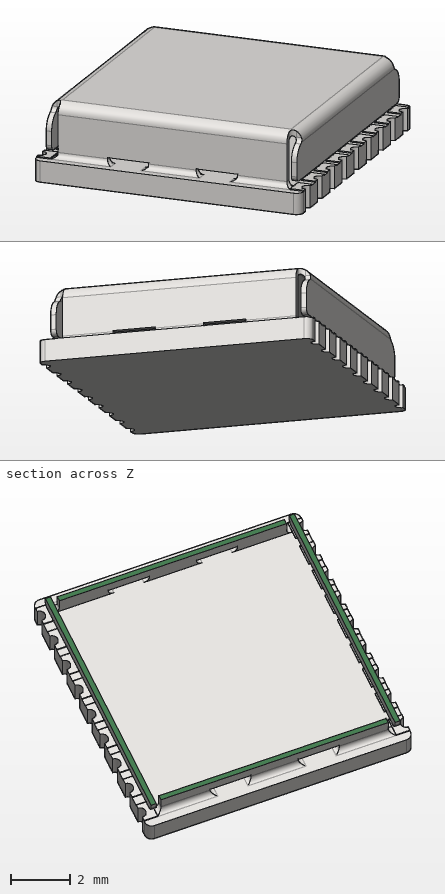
import cadquery as cq
import math

BOARD_X = 9.7
BOARD_Y = 10.1
BOARD_T = 0.76
BOARD_CORNER_R = 0.25

NOTCH_COUNT = 9
NOTCH_PITCH = 1.1
NOTCH_R = 0.2
PAD_T = 0.04
PAD_DEPTH = 0.5
PAD_WIDTH = 0.8
END_PAD_WIDTH = 0.7

TOTAL_H = 2.7
SHIELD_SIZE = 9.1
SHEET_T = 0.2
BEND_R = 0.4
WALL_BOTTOM_Z = 1.0
RELIEF_R = 0.2

FLANGE_WIDTH = 9.27
SHOULDER_START_Z = 1.706
SHOULDER_R = 0.6
FLANGE_BOTTOM_R = 0.2

SOLDER_R = 0.2
CENTRE_FOOT_HALF_WIDTH = 0.86
WINDOW_WIDTH = 1.5

shield_half = SHIELD_SIZE / 2
inner_half = shield_half - SHEET_T
flat_half = shield_half - BEND_R
outer_foot_inner_x = CENTRE_FOOT_HALF_WIDTH + WINDOW_WIDTH
SIDES = (-1, 1)


def box_between(x_range, y_range, z_range):
    """Box spanning three (low, high) ranges."""
    size = [high - low for low, high in (x_range, y_range, z_range)]
    corner = (x_range[0], y_range[0], z_range[0])
    return cq.Workplane("XY").box(*size, centered=False).translate(corner)


def notch_positions():
    first = -(NOTCH_COUNT - 1) / 2 * NOTCH_PITCH
    return [first + i * NOTCH_PITCH for i in range(NOTCH_COUNT)]


def make_board():
    """Board with raised edge pads, notched through both."""
    board = (
        cq.Workplane("XY")
        .box(BOARD_X, BOARD_Y, BOARD_T, centered=(True, True, False))
        .edges("|Z")
        .fillet(BOARD_CORNER_R)
    )
    positions = notch_positions()
    for side in SIDES:
        edge_x = side * BOARD_X / 2
        for y in positions:
            is_end_pad = y in (positions[0], positions[-1])
            width = END_PAD_WIDTH if is_end_pad else PAD_WIDTH
            pad = (
                cq.Workplane("XY", origin=(edge_x - side * PAD_DEPTH / 2, y, BOARD_T))
                .box(PAD_DEPTH, width, PAD_T, centered=(True, True, False))
            )
            board = board.union(pad)
    notches = (
        cq.Workplane("XY")
        .pushPoints([(side * BOARD_X / 2, y) for side in SIDES for y in positions])
        .circle(NOTCH_R)
        .extrude(BOARD_T + PAD_T)
    )
    return board.cut(notches)


def rounded_block(size_x, size_y, top_z, radius, top_edges):
    """Block above the wall bottom, with the selected top edges rounded."""
    return (
        cq.Workplane("XY", origin=(0, 0, WALL_BOTTOM_Z))
        .box(size_x, size_y, top_z - WALL_BOTTOM_Z, centered=(True, True, False))
        .edges(top_edges)
        .fillet(radius)
    )


def folded_sheet(outer_y, inner_y, folds):
    """Sheet bent down along the selected top edges, open underneath."""
    outside = rounded_block(SHIELD_SIZE, outer_y, TOTAL_H, BEND_R, folds)
    inside = rounded_block(
        2 * inner_half, inner_y, TOTAL_H - SHEET_T, BEND_R - SHEET_T, folds
    )
    return outside.cut(inside)


def make_shell():
    """Folded lid with its four corners cut away between the bends."""
    shell = folded_sheet(SHIELD_SIZE, 2 * inner_half, ">Z")
    for x_side in SIDES:
        for y_side in SIDES:
            x_edge = "<X" if x_side > 0 else ">X"
            y_edge = "<Y" if y_side > 0 else ">Y"
            relief = (
                cq.Workplane("XY")
                .box(2 * BEND_R, 2 * BEND_R, TOTAL_H, centered=(True, True, False))
                .translate((x_side * (flat_half + BEND_R), y_side * (flat_half + BEND_R), 0))
                .faces(x_edge)
                .edges(y_edge)
                .fillet(RELIEF_R)
            )
            shell = shell.cut(relief)
    return shell


def flange_outline():
    """Side outline: from the bottom out to the full width, then an S-curve in to the bend."""
    half = FLANGE_WIDTH / 2
    shoulder_y = half - SHOULDER_R
    relief_y = flat_half + RELIEF_R
    reach = SHOULDER_R + RELIEF_R
    offset_y = relief_y - shoulder_y
    offset_z = math.sqrt(reach**2 - offset_y**2)
    relief_z = SHOULDER_START_Z + offset_z
    angle = math.atan2(offset_z, offset_y)
    join = (
        shoulder_y + SHOULDER_R * math.cos(angle),
        SHOULDER_START_Z + SHOULDER_R * math.sin(angle),
    )
    shoulder_mid = (
        shoulder_y + SHOULDER_R * math.cos(angle / 2),
        SHOULDER_START_Z + SHOULDER_R * math.sin(angle / 2),
    )
    relief_mid = (
        relief_y - RELIEF_R * math.cos(angle / 2),
        relief_z - RELIEF_R * math.sin(angle / 2),
    )
    half_outline = (
        cq.Workplane("YZ")
        .moveTo(0, WALL_BOTTOM_Z)
        .lineTo(half - FLANGE_BOTTOM_R, WALL_BOTTOM_Z)
        .radiusArc((half, WALL_BOTTOM_Z + FLANGE_BOTTOM_R), -FLANGE_BOTTOM_R)
        .lineTo(half, SHOULDER_START_Z)
        .threePointArc(shoulder_mid, join)
        .threePointArc(relief_mid, (flat_half, relief_z))
        .lineTo(0, relief_z)
        .close()
        .extrude(shield_half, both=True)
    )
    return half_outline.union(half_outline.mirror("XZ"))


def make_flanges():
    """Both side flanges, cut from a wide strip folded down along its sides."""
    sheet = folded_sheet(FLANGE_WIDTH, FLANGE_WIDTH, "|Y and >Z")
    return sheet.intersect(flange_outline())


def make_foot(x_min, x_max):
    """Foot under the +Y wall with concave solder on its outer face and both ends."""
    solder_top = BOARD_T + SOLDER_R
    foot = box_between((x_min, x_max), (inner_half, shield_half), (BOARD_T, WALL_BOTTOM_Z))
    solder = box_between(
        (x_min - SOLDER_R, x_max + SOLDER_R),
        (inner_half, shield_half + SOLDER_R),
        (BOARD_T, solder_top),
    )
    length = x_max - x_min + 2 * SOLDER_R
    outer_curve = (
        cq.Workplane("YZ", origin=(x_min - SOLDER_R, shield_half + SOLDER_R, solder_top))
        .circle(SOLDER_R)
        .extrude(length)
    )
    solder = solder.cut(outer_curve)
    for x in (x_min - SOLDER_R, x_max + SOLDER_R):
        end_curve = (
            cq.Workplane("XZ", origin=(x, inner_half, solder_top))
            .circle(SOLDER_R)
            .extrude(-(SHEET_T + SOLDER_R))
        )
        solder = solder.cut(end_curve)
    return foot.union(solder)


def make_shield():
    shield = make_shell().union(make_flanges())
    foot_spans = (
        (-flat_half, -outer_foot_inner_x),
        (-CENTRE_FOOT_HALF_WIDTH, CENTRE_FOOT_HALF_WIDTH),
        (outer_foot_inner_x, flat_half),
    )
    for x_min, x_max in foot_spans:
        foot = make_foot(x_min, x_max)
        shield = shield.union(foot).union(foot.mirror("XZ"))
    return shield


result = cq.Workplane(make_board().union(make_shield()).solids().val())